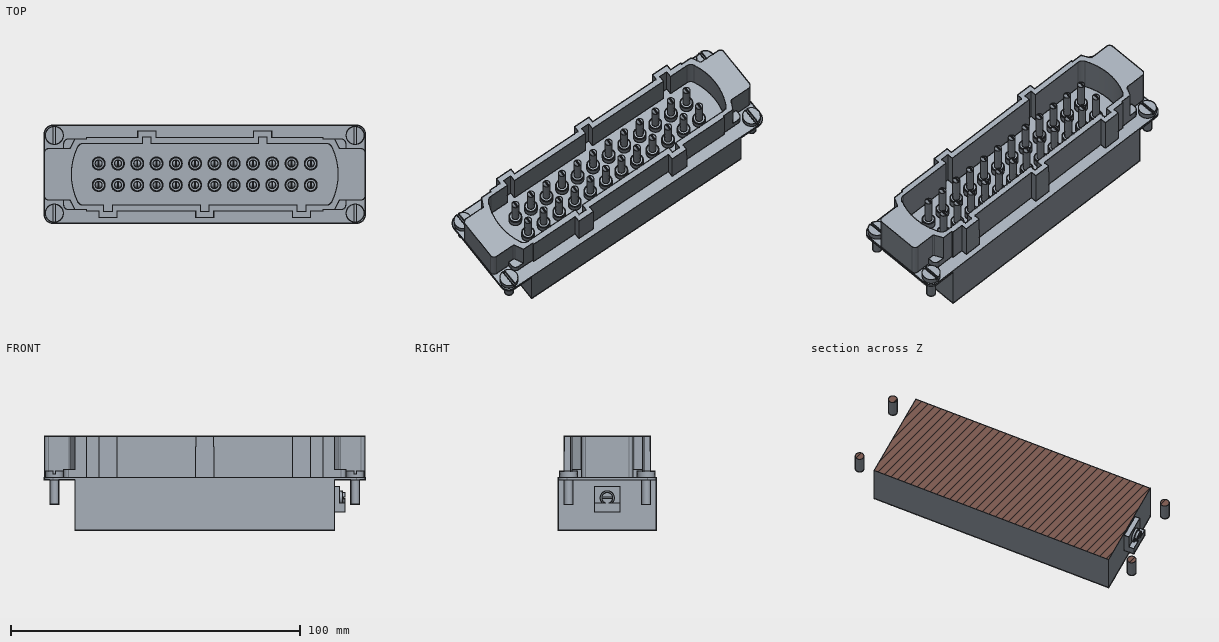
import cadquery as cq

body_height = 17.4
flange_top = 18.3
foot_top = 21.1
total_height = 32.5

width = 34.0
body_length = 89.7
flange_length = 111.0
housing_length = 110.8
flange_corner_radius = 3.1

end_block_half_width = 8.9
end_block_corner_radius = 1.4
shoulder_half_width = 12.2
shoulder_half_length = 44.8
shoulder_root_half_length = 46.5
shoulder_root_radius = 0.7
wall_half_width = 12.8
wall_half_length = 40.8
foot_half_length = 48.7
foot_corner_radius = 1.7

cavity_half_width = 10.7
cavity_side_half_length = 43.3
cavity_end_half_length = 46.1
cavity_corner_radius = 2.2

tab_width = 6.3
tab_half_reach = 15.0
tab_taper = 0.3
slot_width = 3.0
slot_half_reach = 12.9
front_tab_positions = (-33.4, 0, 33.4)
back_tab_positions = (-20.0, 20.0)

pin_columns = 12
pin_pitch = 6.7
row_spacing = 7.4
pin_radius = 1.2
pin_top = 31.9
pin_slot_width = 0.3
pin_slot_depth = 0.5
pin_dome_height = 0.9
pin_dome_radius = (pin_radius**2 + pin_dome_height**2) / (2 * pin_dome_height)
collar_radius = 2.2
collar_top = 21.1
collar_chamfer = 0.2

screw_half_span_x = 52.0
screw_half_span_y = 13.4
screw_head_radius = 3.1
screw_head_top = 20.4
screw_shank_radius = 1.5
screw_bottom = 9.0
screw_slot_width = 0.8
screw_slot_depth = 0.9

terminal_width = 8.9
terminal_bottom = 6.3
clamp_top = 9.4
clamp_reach = 3.7
plate_top = 15.2
plate_thickness = 1.8
terminal_screw_height = 11.2
washer_radius = 2.4
washer_reach = 2.7
terminal_head_radius = 1.9
terminal_slot_width = 0.5
terminal_slot_depth = 0.7


def box(x_min, x_max, y_min, y_max, z_min, z_max):
    """Block between the given coordinates."""
    size = (x_max - x_min, y_max - y_min, z_max - z_min)
    return cq.Workplane("XY").box(*size, centered=False).translate((x_min, y_min, z_min))


def centred_box(half_length, half_width, z_min, z_max):
    """Block centred on the Z axis."""
    return box(-half_length, half_length, -half_width, half_width, z_min, z_max)


def cylinder(x, y, radius, z_min, z_max):
    """Upright cylinder."""
    return cq.Workplane("XY", origin=(x, y, z_min)).circle(radius).extrude(z_max - z_min)


def make_base():
    """Plain lower body carrying the rounded mounting flange."""
    body = centred_box(body_length / 2, width / 2, 0, flange_top)
    flange = centred_box(flange_length / 2, width / 2, body_height, flange_top)
    flange = flange.edges("|Z").fillet(flange_corner_radius)
    return body.union(flange)


def make_tab(x, side):
    """Tapered keying tab; side is -1 for the front wall and 1 for the back wall."""
    depth = tab_half_reach - cavity_half_width
    y = side * (tab_half_reach + cavity_half_width) / 2
    tab = cq.Workplane("XY", origin=(x, y, flange_top)).rect(tab_width, depth)
    return tab.extrude(total_height - flange_top, taper=tab_taper)


def make_tab_slot(x, side):
    """Slot running down the inside of a keying tab."""
    y_min, y_max = sorted((0, side * slot_half_reach))
    return box(x - slot_width / 2, x + slot_width / 2, y_min, y_max, flange_top, total_height)


def make_cavity():
    """Cavity with bowed ends."""
    x, y = cavity_side_half_length, cavity_half_width
    return (
        cq.Workplane("XY", origin=(0, 0, flange_top))
        .moveTo(-x, -y)
        .lineTo(x, -y)
        .threePointArc((cavity_end_half_length, 0), (x, y))
        .lineTo(-x, y)
        .threePointArc((-cavity_end_half_length, 0), (-x, -y))
        .close()
        .extrude(total_height - flange_top)
        .edges("|Z")
        .fillet(cavity_corner_radius)
    )


def make_ends():
    """End blocks joined to the cavity walls by oblique, rounded shoulders."""
    end_x, end_y = housing_length / 2, end_block_half_width
    root_x = shoulder_root_half_length
    x, y = shoulder_half_length, shoulder_half_width
    height = total_height - flange_top
    right_side = [
        (x, -y), (root_x, -end_y), (end_x, -end_y),
        (end_x, end_y), (root_x, end_y), (x, y),
    ]
    left_side = [(-px, -py) for px, py in right_side]
    ends = cq.Workplane("XY", origin=(0, 0, flange_top))
    ends = ends.polyline(right_side + left_side).close().extrude(height)
    ends = ends.edges("|Z and (<X or >X)").fillet(end_block_corner_radius)

    selection_x, selection_y = (root_x + end_x) / 2, (end_y + y) / 2
    roots = cq.selectors.BoxSelector(
        (-selection_x, -selection_y, flange_top), (selection_x, selection_y, total_height)
    )
    return ends.edges("|Z").edges(roots).fillet(shoulder_root_radius)


def make_housing():
    """Walls, end blocks, feet and keying tabs around the pin cavity."""
    feet = centred_box(foot_half_length, shoulder_half_width, flange_top, foot_top)
    feet = feet.edges("|Z").fillet(foot_corner_radius)
    walls = centred_box(wall_half_length, wall_half_width, flange_top, total_height)
    housing = make_ends().union(feet).union(walls)

    tabs = [(x, -1) for x in front_tab_positions] + [(x, 1) for x in back_tab_positions]
    for x, side in tabs:
        housing = housing.union(make_tab(x, side))
    housing = housing.cut(make_cavity())
    for x, side in tabs:
        housing = housing.cut(make_tab_slot(x, side))
    return housing


def make_pin(x, y):
    """Domed contact pin, slotted along Y, standing in a chamfered collar."""
    collar = cylinder(x, y, collar_radius, body_height, collar_top)
    collar = collar.faces(">Z").chamfer(collar_chamfer)
    pin = (
        cq.Workplane("XZ", origin=(x, y, 0))
        .moveTo(0, body_height)
        .lineTo(pin_radius, body_height)
        .lineTo(pin_radius, pin_top - pin_dome_height)
        .radiusArc((0, pin_top), -pin_dome_radius)
        .close()
        .revolve(360, (0, 0), (0, 1))
    )
    slot = box(
        x - pin_slot_width / 2, x + pin_slot_width / 2,
        y - pin_radius, y + pin_radius,
        pin_top - pin_slot_depth, pin_top,
    )
    return collar.union(pin.cut(slot))


def make_screw(x, y):
    """Slotted mounting screw through a flange corner."""
    head = cylinder(x, y, screw_head_radius, flange_top, screw_head_top)
    slot = box(
        x - screw_slot_width / 2, x + screw_slot_width / 2,
        y - screw_head_radius, y + screw_head_radius,
        screw_head_top - screw_slot_depth, screw_head_top,
    )
    shank = cylinder(x, y, screw_shank_radius, screw_bottom, flange_top)
    return head.cut(slot).union(shank)


def make_earth_terminal():
    """Terminal plate with a clamp block and a slotted screw along X."""
    wall_x = body_length / 2
    half_width = terminal_width / 2
    tip_x = wall_x + clamp_reach
    plate = box(wall_x, wall_x + plate_thickness, -half_width, half_width, terminal_bottom, plate_top)
    clamp = box(wall_x, tip_x, -half_width, half_width, terminal_bottom, clamp_top)
    screw_axis = cq.Workplane("YZ", origin=(wall_x, 0, terminal_screw_height))
    washer = screw_axis.circle(washer_radius).extrude(washer_reach)
    slot = box(
        tip_x - terminal_slot_depth, tip_x,
        -terminal_head_radius, terminal_head_radius,
        terminal_screw_height - terminal_slot_width / 2, terminal_screw_height + terminal_slot_width / 2,
    )
    head = screw_axis.circle(terminal_head_radius).extrude(clamp_reach).cut(slot)
    return plate.union(clamp).union(washer).union(head)


result = make_base().union(make_housing()).union(make_earth_terminal())

for column in range(pin_columns):
    pin_x = (column - (pin_columns - 1) / 2) * pin_pitch
    for pin_y in (-row_spacing / 2, row_spacing / 2):
        result = result.union(make_pin(pin_x, pin_y))

for screw_x in (-screw_half_span_x, screw_half_span_x):
    for screw_y in (-screw_half_span_y, screw_half_span_y):
        result = result.union(make_screw(screw_x, screw_y))